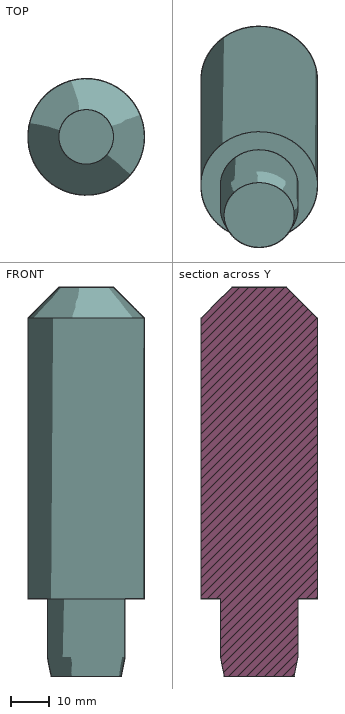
import cadquery as cq

total_length = 100.0
body_diameter = 30.0
top_chamfer = 8.0

shank_length = 20.0
shank_diameter = 20.0
tip_length = 5.0
tip_diameter = 18.0

body_radius = body_diameter / 2
shank_radius = shank_diameter / 2
tip_radius = tip_diameter / 2

profile = (
    cq.Workplane("XZ")
    .moveTo(0, 0)
    .lineTo(tip_radius, 0)
    .lineTo(shank_radius, tip_length)
    .lineTo(shank_radius, shank_length)
    .lineTo(body_radius, shank_length)
    .lineTo(body_radius, total_length - top_chamfer)
    .lineTo(body_radius - top_chamfer, total_length)
    .lineTo(0, total_length)
    .close()
)

result = profile.revolve(360, (0, 0, 0), (0, 1, 0))